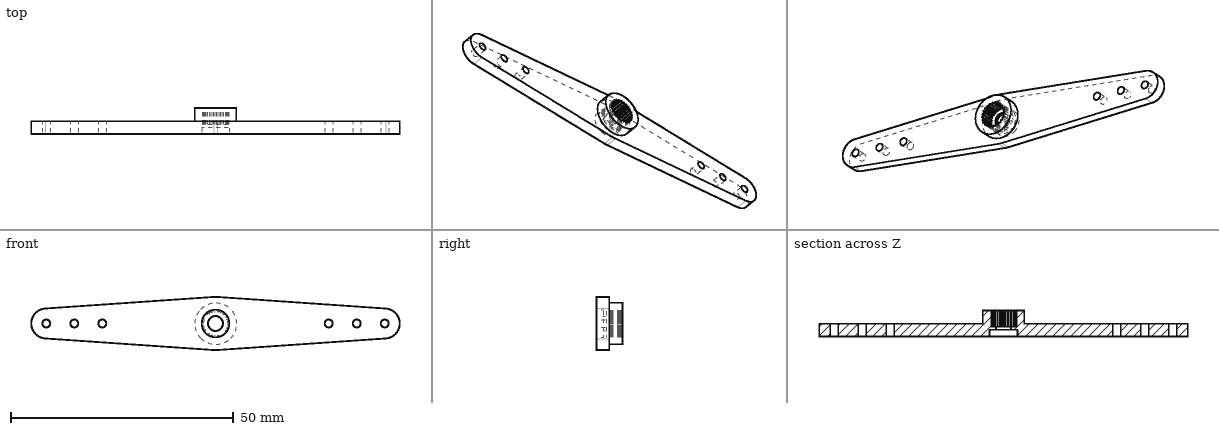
import cadquery as cq
import math

overall_length = 83.0
middle_width = 12.0
middle_radius = middle_width / 2
tip_radius = 3.4
plate_thickness = 2.9
overall_depth = 5.9
boss_diameter = 9.4
bore_diameter = 3.3
recess_diameter = 6.2
recess_depth = 1.5
web_thickness = 0.75
spline_outer_diameter = 6.0
spline_inner_diameter = 5.3
spline_tooth_count = 25
link_hole_diameter = 1.75
outer_hole_offset = 38.1
link_hole_pitch = 6.3
holes_per_arm = 3

tip_center = overall_length / 2 - tip_radius
taper_angle = math.asin((middle_radius - tip_radius) / tip_center)


def cylinder_along_y(diameter, start, end, x=0.0):
    """Cylinder parallel to Y between two depths."""
    return cq.Workplane("XZ", origin=(x, start, 0)).circle(diameter / 2).extrude(start - end)


def tangent_point(center_x, radius, side_x, side_z):
    """Point where a tapered edge touches an end or middle circle."""
    return (
        center_x * side_x + radius * math.sin(taper_angle) * side_x,
        radius * math.cos(taper_angle) * side_z,
    )


def make_plate():
    """Double-ended arm with straight edges tangent to its round stretches."""
    return (
        cq.Workplane("XZ")
        .moveTo(*tangent_point(0, middle_radius, -1, 1))
        .threePointArc((0, middle_radius), tangent_point(0, middle_radius, 1, 1))
        .lineTo(*tangent_point(tip_center, tip_radius, 1, 1))
        .threePointArc((overall_length / 2, 0), tangent_point(tip_center, tip_radius, 1, -1))
        .lineTo(*tangent_point(0, middle_radius, 1, -1))
        .threePointArc((0, -middle_radius), tangent_point(0, middle_radius, -1, -1))
        .lineTo(*tangent_point(tip_center, tip_radius, -1, -1))
        .threePointArc((-overall_length / 2, 0), tangent_point(tip_center, tip_radius, -1, 1))
        .close()
        .extrude(-plate_thickness)
    )


def make_spline_socket():
    """Star-shaped cutter with V teeth, from the web out through the boss face."""
    half_tooth_angle = math.pi / spline_tooth_count
    points = []
    for index in range(2 * spline_tooth_count):
        diameter = spline_inner_diameter if index % 2 else spline_outer_diameter
        angle = index * half_tooth_angle
        points.append((diameter / 2 * math.cos(angle), diameter / 2 * math.sin(angle)))
    socket_start = recess_depth + web_thickness
    return (
        cq.Workplane("XZ", origin=(0, socket_start, 0))
        .polyline(points)
        .close()
        .extrude(socket_start - overall_depth)
    )


result = make_plate().union(cylinder_along_y(boss_diameter, 0, overall_depth))

result = result.cut(cylinder_along_y(bore_diameter, 0, overall_depth))
result = result.cut(cylinder_along_y(recess_diameter, 0, recess_depth))
result = result.cut(make_spline_socket())

for side in (-1, 1):
    for index in range(holes_per_arm):
        hole_x = side * (outer_hole_offset - index * link_hole_pitch)
        result = result.cut(cylinder_along_y(link_hole_diameter, 0, plate_thickness, hole_x))